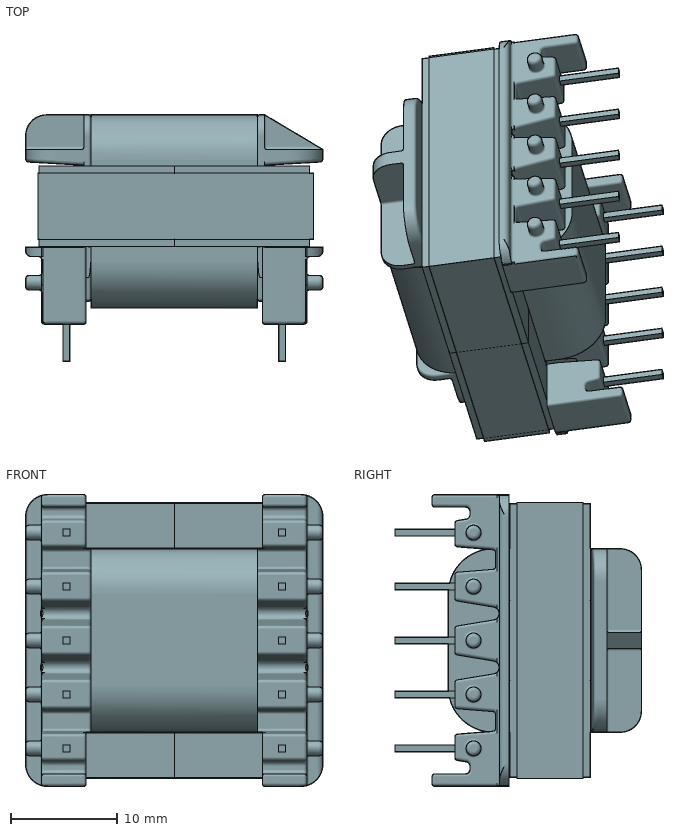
import cadquery as cq
import math


CORE_HALF_LENGTH = 12.75
CORE_HALF_HEIGHT = 12.9
CORE_HALF_DEPTH = 3.8
WINDOW_HALF_HEIGHT = 8.7
LEG_HALF_HEIGHT = 3.75

TAPE_HALF_WIDTH = 3.125
TAPE_THICKNESS = 0.1
TAPE_LAP_THICKNESS = 0.27

FLANGE_OUTER_X = 8.5
FLANGE_INNER_X = 7.83
FLANGE_HALF_HEIGHT = 8.65
FLANGE_CORNER_RADIUS = 2.0
BACK_Y = 8.62
TUBE_WALL = 0.8
EDGE_RADIUS = 0.3
ROOT_RADIUS = 0.25

PLATE_OUTER_X = 14.0
REAR_PLATE_BACK_Y = 5.35
REAR_PLATE_TIP_Y = 4.17
REAR_PLATE_ROOT_Y = 3.85
REAR_PLATE_CORNER_RADIUS = 3.0
RIB_THICKNESS = 1.5
RIB_NOSE_RADIUS = 2.0

STRIP_BACK_Y = -3.85
FRONT_PLATE_Y = -4.75
FRONT_PLATE_HALF_HEIGHT = 13.75
FRONT_PLATE_CORNER_RADIUS = 2.1
FRONT_PLATE_EDGE_RADIUS = 0.55
STRIP_OUTER_X = 12.5
STRIP_END_INNER_X = 8.3
FOOT_TIP_Y = -11.12
FOOT_INNER_Z = 12.55
BLOCK_TIP_Y = -8.96
NOTCH_FLOOR_Y = -7.55
OUTER_GAP_FLOOR_Y = -5.13
INNER_GAP_FLOOR_Y = -4.8
BLOCK_TIP_HALF = 1.33
NOTCH_SIDE_HALF = 1.1
STEEP_SLOPE = 0.165
SHALLOW_SLOPE = 0.08
NOTCH_RADIUS = 0.4
INNER_GAP_RADIUS = 0.6

PIN_PITCH = 5.08
PIN_COUNT = 5
PIN_X = 10.16
PIN_WIDTH = 0.64
PIN_TIP_Y = -14.6
PEG_Y = -7.2
PEG_RADIUS = 0.7
PEG_TIP_RADIUS = 0.35
PEG_BASE_RADIUS = 0.2

WINDING_FRONT_Y = -9.6
WINDING_CORNER_RADIUS = 4.28

TOLERANCE = 1e-4
PIN_LEVELS = [(i - (PIN_COUNT - 1) / 2) * PIN_PITCH for i in range(PIN_COUNT)]
TUBE_HALF_DEPTH = CORE_HALF_DEPTH + TUBE_WALL
TUBE_HALF_HEIGHT = LEG_HALF_HEIGHT + TUBE_WALL


def span_box(x_range, y_range, z_range):
    """Axis-aligned box between the given pairs of limits."""
    sizes = [high - low for low, high in (x_range, y_range, z_range)]
    corner = (x_range[0], y_range[0], z_range[0])
    return cq.Workplane("XY").box(*sizes, centered=False).translate(corner)


def both_sides(limit):
    return (-limit, limit)


def make_core_half(side):
    """E-shaped half core; side is -1 or +1 along X."""
    block = span_box((0, CORE_HALF_LENGTH), both_sides(CORE_HALF_DEPTH), both_sides(CORE_HALF_HEIGHT))
    for direction in (-1, 1):
        window_z = sorted((direction * LEG_HALF_HEIGHT, direction * WINDOW_HALF_HEIGHT))
        block = block.cut(span_box((0, FLANGE_OUTER_X), both_sides(CORE_HALF_DEPTH), window_z))
    return block if side > 0 else block.mirror("YZ")


def make_tape():
    """Thin band round the outside of both core halves, thicker at its overlap."""
    outer_x = CORE_HALF_LENGTH + TAPE_THICKNESS
    outer_z = CORE_HALF_HEIGHT + TAPE_THICKNESS
    width = both_sides(TAPE_HALF_WIDTH)
    band = span_box((-outer_x, outer_x + TAPE_LAP_THICKNESS), width, both_sides(outer_z))
    return band.cut(span_box(both_sides(CORE_HALF_LENGTH), width, both_sides(CORE_HALF_HEIGHT)))


def make_winding():
    depth = (WINDING_FRONT_Y, BACK_Y)
    coil = span_box(both_sides(FLANGE_INNER_X), depth, both_sides(FLANGE_HALF_HEIGHT))
    coil = coil.edges("|X").fillet(WINDING_CORNER_RADIUS)
    tube_space = span_box(
        both_sides(FLANGE_INNER_X), both_sides(TUBE_HALF_DEPTH), both_sides(TUBE_HALF_HEIGHT)
    )
    return coil.cut(tube_space)


def make_flange():
    flange = span_box(
        (-FLANGE_OUTER_X, -FLANGE_INNER_X), (STRIP_BACK_Y, BACK_Y), both_sides(FLANGE_HALF_HEIGHT)
    )
    flange = flange.edges("|X and >Y").fillet(FLANGE_CORNER_RADIUS)
    rim = flange.faces(">X").edges("not <Y")
    return flange.newObject(rim.vals()).fillet(ROOT_RADIUS)


def make_rear_plate():
    """Plate behind the core, thinning toward its free end."""
    outline = [
        (-FLANGE_OUTER_X, REAR_PLATE_BACK_Y),
        (-PLATE_OUTER_X, REAR_PLATE_BACK_Y),
        (-PLATE_OUTER_X, REAR_PLATE_TIP_Y),
        (-FLANGE_OUTER_X, REAR_PLATE_ROOT_Y),
    ]
    plate = cq.Workplane("XY").polyline(outline).close().extrude(FLANGE_HALF_HEIGHT, both=True)
    plate = plate.edges("|Y and <X").fillet(REAR_PLATE_CORNER_RADIUS)
    underside_rim = plate.faces("<Y").edges("not >X")
    return plate.newObject(underside_rim.vals()).fillet(EDGE_RADIUS)


def make_rib(rounded):
    """Locating rib on the rear plate, with a rounded nose or a sloping back."""
    rib = cq.Workplane("XY").workplane(offset=-RIB_THICKNESS / 2)
    rib = rib.moveTo(-FLANGE_OUTER_X, REAR_PLATE_BACK_Y).lineTo(-PLATE_OUTER_X, REAR_PLATE_BACK_Y)
    if rounded:
        rib = rib.lineTo(-PLATE_OUTER_X, BACK_Y - RIB_NOSE_RADIUS)
        rib = rib.radiusArc((-PLATE_OUTER_X + RIB_NOSE_RADIUS, BACK_Y), RIB_NOSE_RADIUS)
    return rib.lineTo(-FLANGE_OUTER_X, BACK_Y).close().extrude(RIB_THICKNESS)


def make_back(rounded_rib):
    """Flange, rear plate and rib, filleted in the corners where they meet."""
    back = make_flange().union(make_rear_plate()).union(make_rib(rounded_rib))
    rib_half = RIB_THICKNESS / 2
    corners = []
    for edge in back.edges().vals():
        centre = edge.Center()
        on_flange = math.isclose(centre.x, -FLANGE_OUTER_X, abs_tol=TOLERANCE)
        on_plate = math.isclose(centre.y, REAR_PLATE_BACK_Y, abs_tol=TOLERANCE)
        on_rib = math.isclose(abs(centre.z), rib_half, abs_tol=TOLERANCE)
        if (on_flange and on_plate) or (on_rib and (on_flange or on_plate)):
            corners.append(edge)
    return back.newObject(corners).fillet(ROOT_RADIUS)


def gap_cutter(floor_y, lower_wall, upper_wall, floor_radius):
    """Open gap between blocks with a rounded floor.

    Each wall is a pair: its Z at the block tips and its change in Z per mm of depth.
    """

    def wall_point(wall, y):
        z_at_tip, slope = wall
        return (y, z_at_tip + slope * (y - BLOCK_TIP_Y))

    outline = [
        wall_point(lower_wall, floor_y),
        wall_point(lower_wall, FOOT_TIP_Y),
        wall_point(upper_wall, FOOT_TIP_Y),
        wall_point(upper_wall, floor_y),
    ]
    cutter = cq.Workplane("YZ").polyline(outline).close().extrude(-PLATE_OUTER_X)
    return cutter.edges("|X and >Y").fillet(floor_radius)


def terminal_gaps():
    """Gap and notch cutters of the upper half of the strip."""
    middle, inner, outer = PIN_LEVELS[PIN_COUNT // 2:]
    inner_gap = gap_cutter(
        INNER_GAP_FLOOR_Y,
        (middle + BLOCK_TIP_HALF, STEEP_SLOPE),
        (inner - BLOCK_TIP_HALF, -STEEP_SLOPE),
        INNER_GAP_RADIUS,
    )
    outer_gap = gap_cutter(
        OUTER_GAP_FLOOR_Y,
        (inner + BLOCK_TIP_HALF, SHALLOW_SLOPE),
        (outer - BLOCK_TIP_HALF, -SHALLOW_SLOPE),
        ROOT_RADIUS,
    )
    notch = gap_cutter(NOTCH_FLOOR_Y, (outer + NOTCH_SIDE_HALF, STEEP_SLOPE), (FOOT_INNER_Z, 0), NOTCH_RADIUS)
    return [inner_gap, outer_gap, notch]


def cut_gaps(body):
    for gap in terminal_gaps():
        body = body.cut(gap).cut(gap.mirror("XY"))
    return body


def fillet_edges(body, edges, radius):
    return body.newObject(edges.vals()).fillet(radius)


def make_block_row(inner_x):
    """Tapered blocks and end feet from STRIP_OUTER_X in to inner_x, rounded on all free edges."""
    row = span_box(
        (-STRIP_OUTER_X, -inner_x), (FOOT_TIP_Y, STRIP_BACK_Y), both_sides(FRONT_PLATE_HALF_HEIGHT)
    )
    row = row.cut(span_box((-STRIP_OUTER_X, 0), (FOOT_TIP_Y, BLOCK_TIP_Y), both_sides(FOOT_INNER_Z)))
    row = cut_gaps(row)

    row = fillet_edges(row, row.faces("<Y").edges("|X"), EDGE_RADIUS)
    around_block_tips = cq.selectors.BoxSelector(
        (-STRIP_OUTER_X, BLOCK_TIP_Y - ROOT_RADIUS, -FOOT_INNER_Z),
        (0, BLOCK_TIP_Y + ROOT_RADIUS, FOOT_INNER_Z),
    )
    row = fillet_edges(row, row.faces("|Y").faces(around_block_tips).edges("|X"), EDGE_RADIUS)
    row = fillet_edges(row, row.faces("<X").edges("not >Y"), EDGE_RADIUS)
    return fillet_edges(row, row.faces(">X").edges("not >Y"), ROOT_RADIUS)


def make_terminal_strip():
    """Block row whose part between the core legs reaches further in, to the flange face."""
    between_legs = span_box(
        (-STRIP_OUTER_X, 0), (FOOT_TIP_Y, STRIP_BACK_Y), both_sides(FLANGE_HALF_HEIGHT)
    )
    middle_row = make_block_row(FLANGE_INNER_X).intersect(between_legs)
    end_rows = make_block_row(STRIP_END_INNER_X).cut(between_legs)
    return end_rows.union(middle_row)


def make_front_plate():
    """Plate in front of the core, with a fillet where the terminal strip rises from it."""
    plate = span_box(
        (-PLATE_OUTER_X, -STRIP_OUTER_X), (FRONT_PLATE_Y, STRIP_BACK_Y), both_sides(FRONT_PLATE_HALF_HEIGHT)
    )
    plate = plate.edges("<X and <Y").fillet(FRONT_PLATE_EDGE_RADIUS)

    root = cq.Workplane("XY").workplane(offset=-FRONT_PLATE_HALF_HEIGHT)
    root = root.moveTo(-STRIP_OUTER_X - ROOT_RADIUS, FRONT_PLATE_Y)
    root = root.radiusArc((-STRIP_OUTER_X, FRONT_PLATE_Y - ROOT_RADIUS), ROOT_RADIUS)
    root = root.lineTo(-STRIP_OUTER_X + EDGE_RADIUS, FRONT_PLATE_Y - ROOT_RADIUS)
    root = root.lineTo(-STRIP_OUTER_X + EDGE_RADIUS, FRONT_PLATE_Y).close()
    root = root.extrude(2 * FRONT_PLATE_HALF_HEIGHT)
    return plate.union(cut_gaps(root))


def make_front():
    """Front plate and terminal strip, trimmed together to the rounded outer corners."""
    rounded_outline = span_box(
        (-PLATE_OUTER_X, 0), (FOOT_TIP_Y, STRIP_BACK_Y), both_sides(FRONT_PLATE_HALF_HEIGHT)
    ).edges("|Y and <X").fillet(FRONT_PLATE_CORNER_RADIUS)
    return make_terminal_strip().union(make_front_plate()).intersect(rounded_outline)


def make_peg(level):
    """Wire-wrapping peg with a rounded tip and a flared base, revolved about its own axis."""
    tip = STRIP_OUTER_X - PLATE_OUTER_X
    flare_radius = PEG_RADIUS + PEG_BASE_RADIUS
    half_section = (
        cq.Workplane("XY")
        .moveTo(EDGE_RADIUS, 0)
        .lineTo(EDGE_RADIUS, -flare_radius)
        .lineTo(0, -flare_radius)
        .radiusArc((-PEG_BASE_RADIUS, -PEG_RADIUS), -PEG_BASE_RADIUS)
        .lineTo(tip + PEG_TIP_RADIUS, -PEG_RADIUS)
        .radiusArc((tip, PEG_TIP_RADIUS - PEG_RADIUS), PEG_TIP_RADIUS)
        .lineTo(tip, 0)
        .close()
    )
    peg = half_section.revolve(axisStart=(0, 0, 0), axisEnd=(1, 0, 0))
    return peg.translate((-STRIP_OUTER_X, PEG_Y, level))


def make_pin(level):
    half = PIN_WIDTH / 2
    return span_box((-PIN_X - half, -PIN_X + half), (PIN_TIP_Y, PEG_Y), (level - half, level + half))


def make_former_end(rounded_rib):
    """One end of the coil former: flange, rear plate, rib and terminal strip with its pins."""
    end = make_back(rounded_rib).union(make_front())
    for level in PIN_LEVELS:
        end = end.union(make_peg(level)).union(make_pin(level))
    return end


def make_former():
    length = both_sides(FLANGE_OUTER_X)
    tube = span_box(length, both_sides(TUBE_HALF_DEPTH), both_sides(TUBE_HALF_HEIGHT))
    former = tube.union(make_former_end(True)).union(make_former_end(False).mirror("YZ"))
    return former.cut(span_box(length, both_sides(CORE_HALF_DEPTH), both_sides(LEG_HALF_HEIGHT)))


core_halves = [make_core_half(side) for side in (-1, 1)]
tape = make_tape()
winding = make_winding()
former = make_former()

result = cq.Compound.makeCompound(
    [*(half.val() for half in core_halves), tape.val(), winding.val(), former.val()]
)